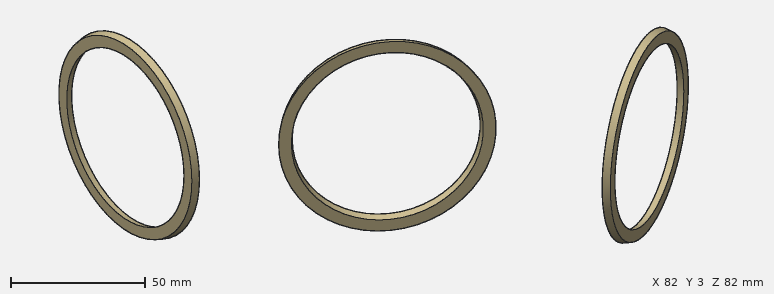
import cadquery as cq

back_diameter = 82.0
front_diameter = 80.4
front_bore_diameter = 70.7
thickness = 3.0

back_bore_diameter = front_bore_diameter + (back_diameter - front_diameter)

front_y = -thickness / 2
back_y = thickness / 2

section = (
    cq.Workplane("XY")
    .moveTo(front_bore_diameter / 2, front_y)
    .lineTo(front_diameter / 2, front_y)
    .lineTo(back_diameter / 2, back_y)
    .lineTo(back_bore_diameter / 2, back_y)
    .close()
)

result = section.revolve(360, (0, 0, 0), (0, 1, 0))